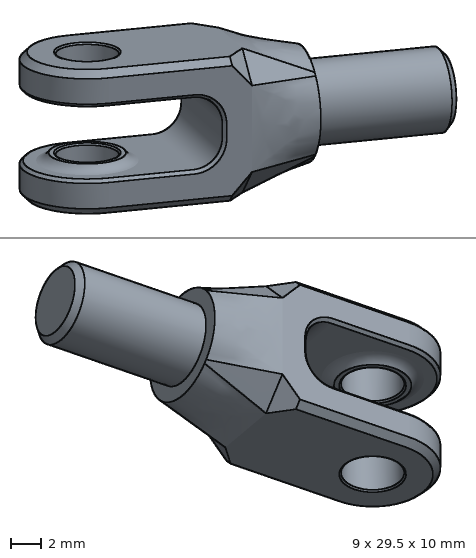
import cadquery as cq
import math

overall_length = 29.5
width = 9.0
height = 10.0
tip_radius = width / 2
edge_chamfer = 0.5

neck_start = 10.0
shoulder_y = 15.0
shoulder_radius = 3.98
corner_inset = 2.0
corner_run = 1.4
shoulder_corner_angle = 2

shank_radius = 2.9
shank_end = overall_length - tip_radius
shank_chamfer = 0.47

slot_height = 5.02
slot_end = 8.0
slot_radius = 2.0
slot_chamfer = 0.25

hole_radius = 2.1
hole_chamfer = 0.12
pad_radius = 2.57
pad_height = 0.53
pad_flare = 0.83
pad_sag = 0.15
pad_root = 0.5


def fork_block():
    """Round-nosed block with chamfered rims and four obliquely cut rear corners."""
    block = (
        cq.Workplane("XY")
        .workplane(offset=-height / 2)
        .moveTo(-width / 2, neck_start)
        .lineTo(-width / 2, 0)
        .threePointArc((0, -tip_radius), (width / 2, 0))
        .lineTo(width / 2, neck_start)
        .close()
        .extrude(height)
    )
    rims = block.faces("|Z").edges("not(>Y)")
    block = rims.chamfer(edge_chamfer)

    full_run = corner_run * corner_inset / (corner_inset - edge_chamfer)
    for side_x in (-1, 1):
        for side_z in (-1, 1):
            corner = cq.Vector(side_x * width / 2, neck_start, side_z * height / 2)
            along_x = corner - cq.Vector(side_x * corner_inset, 0, 0)
            along_y = corner - cq.Vector(0, full_run, 0)
            along_z = corner - cq.Vector(0, 0, side_z * corner_inset)
            block = block.cut(tetrahedron(corner, along_x, along_y, along_z))
    return block


def tetrahedron(a, b, c, d):
    """Solid bounded by the four triangles between the given corner points."""
    triangles = ((a, b, c), (a, b, d), (a, c, d), (b, c, d))
    faces = [cq.Face.makeFromWires(cq.Wire.makePolygon(points, close=True)) for points in triangles]
    return cq.Workplane(obj=cq.Solid.makeSolid(cq.Shell.makeShell(faces)))


def neck():
    """Ruled transition from an octagon to a circle split into eight matching arcs."""
    half_x = width / 2
    half_z = height / 2
    flat_x = half_x - corner_inset
    flat_z = half_z - corner_inset
    octagon = [
        (half_x, flat_z), (flat_x, half_z), (-flat_x, half_z), (-half_x, flat_z),
        (-half_x, -flat_z), (-flat_x, -half_z), (flat_x, -half_z), (half_x, -flat_z),
    ]
    base = cq.Wire.makePolygon([cq.Vector(x, neck_start, z) for x, z in octagon], close=True)

    angles = []
    for diagonal in (45, 135, 225, 315):
        angles += [diagonal - shoulder_corner_angle, diagonal + shoulder_corner_angle]
    arcs = []
    for start, end in zip(angles, angles[1:] + [angles[0] + 360]):
        arcs.append(cq.Edge.makeThreePointArc(
            shoulder_point(start), shoulder_point((start + end) / 2), shoulder_point(end)))
    return cq.Workplane(obj=cq.Solid.makeLoft([base, cq.Wire.assembleEdges(arcs)], True))


def shoulder_point(degrees):
    angle = math.radians(degrees)
    return cq.Vector(shoulder_radius * math.cos(angle), shoulder_y, shoulder_radius * math.sin(angle))


def shank():
    return (
        cq.Workplane("XZ", origin=(0, shoulder_y, 0))
        .circle(shank_radius)
        .extrude(shoulder_y - shank_end)
        .faces(">Y")
        .chamfer(shank_chamfer)
    )


def slot():
    """Slot through the full width, open at the nose, with rounded inner corners."""
    slot_length = slot_end + 2 * tip_radius
    return (
        cq.Workplane("XY")
        .box(2 * width, slot_length, slot_height)
        .translate((0, slot_end - slot_length / 2, 0))
        .edges("|X and >Y")
        .fillet(slot_radius)
    )


def chamfer_slot_rim(body):
    """Break the slot edges along both sides and around the nose of each arm."""
    margin = 0.03
    reach = slot_height / 2 + margin
    rim_box = cq.selectors.BoxSelector((-width, -width, -reach), (width, slot_end + margin, reach), True)
    inner_faces = body.faces(rim_box).faces("|Z")
    return inner_faces.edges("not(|X)").chamfer(slot_chamfer)


def pad():
    """Raised ring on the lower arm with a concave flared side."""
    floor = -slot_height / 2
    top = floor + pad_height
    base_radius = pad_radius + pad_flare
    middle = (pad_radius + pad_flare / 2 - pad_sag / 2, floor + pad_height / 2 - pad_sag / 2)
    return (
        cq.Workplane("XZ")
        .moveTo(0, floor - pad_root)
        .lineTo(base_radius, floor - pad_root)
        .lineTo(base_radius, floor)
        .threePointArc(middle, (pad_radius, top))
        .lineTo(0, top)
        .close()
        .revolve(360, (0, 0, 0), (0, 1, 0))
    )


def pin_hole():
    """Hole through both arms, with chamfered mouths on the outer faces and the pads."""
    mouth_radius = hole_radius + hole_chamfer
    outer = height / 2
    inner = slot_height / 2 - pad_height
    return (
        cq.Workplane("XZ")
        .moveTo(0, inner)
        .lineTo(mouth_radius, inner)
        .lineTo(hole_radius, inner + hole_chamfer)
        .lineTo(hole_radius, outer - hole_chamfer)
        .lineTo(mouth_radius, outer)
        .lineTo(0, outer)
        .close()
        .revolve(360, (0, 0, 0), (0, 1, 0))
    )


body = chamfer_slot_rim(fork_block().union(neck()).union(shank()).cut(slot()))
lower_pad = pad()
body = body.union(lower_pad).union(lower_pad.mirror("XY"))
upper_hole = pin_hole()
result = body.cut(upper_hole).cut(upper_hole.mirror("XY"))